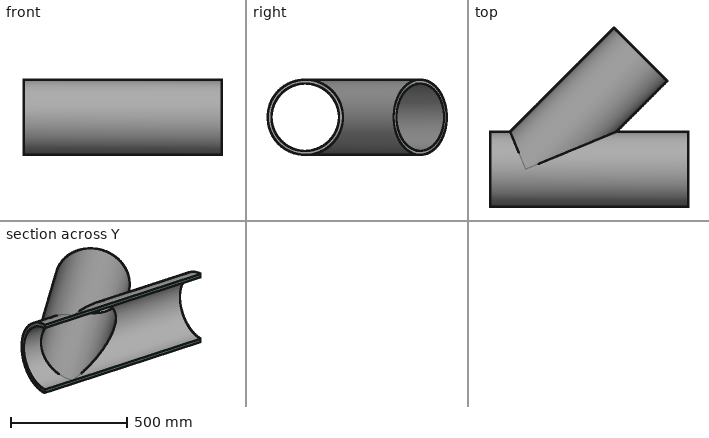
import cadquery as cq
import math

outer_diameter = 323.85
bore_diameter = 288.95
short_leg = 152.4
long_leg = 698.5
branch_length = 698.5
branch_angle = 45.0

run_length = short_leg + long_leg
branch_direction = (
    math.cos(math.radians(branch_angle)),
    math.sin(math.radians(branch_angle)),
    0,
)


def wye(diameter):
    """Solid run and branch of one diameter, axes crossing at the origin."""
    radius = diameter / 2
    run = cq.Solid.makeCylinder(
        radius, run_length, cq.Vector(-short_leg, 0, 0), cq.Vector(1, 0, 0)
    )
    branch = cq.Solid.makeCylinder(
        radius, branch_length, cq.Vector(0, 0, 0), cq.Vector(*branch_direction)
    )
    return cq.Workplane(run).union(cq.Workplane(branch))


result = wye(outer_diameter).cut(wye(bore_diameter))